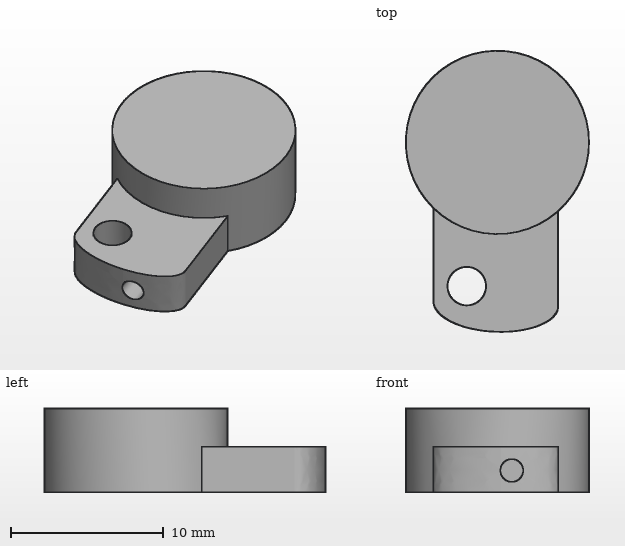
import cadquery as cq

body_diameter = 12.0
body_height = 5.5

overall_length = 18.41
tab_height = 3.0
tab_left_x = -4.2
tab_right_x = 3.98
tip_x = 0.24
tip_y = body_diameter / 2 - overall_length
left_round_depth = 2.05
right_round_depth = 1.65

through_hole_diameter = 2.5
through_hole_x = -2.0
through_hole_y = -9.4

end_hole_diameter = 1.5
end_hole_x = 0.94
end_hole_z = 1.44
end_hole_depth = 3.68


def make_body():
    return cq.Workplane("XY").circle(body_diameter / 2).extrude(body_height)


def make_tab():
    """Straight-sided tab whose end is two unequal quarter ellipses meeting at the tip."""
    return (
        cq.Workplane("XY")
        .moveTo(tab_left_x, 0)
        .lineTo(tab_left_x, tip_y + left_round_depth)
        .ellipseArc(tip_x - tab_left_x, left_round_depth, 180, 270)
        .ellipseArc(tab_right_x - tip_x, right_round_depth, 270, 360)
        .lineTo(tab_right_x, 0)
        .close()
        .extrude(tab_height)
    )


def make_through_hole():
    return (
        cq.Workplane("XY")
        .center(through_hole_x, through_hole_y)
        .circle(through_hole_diameter / 2)
        .extrude(tab_height)
    )


def make_end_hole():
    return (
        cq.Workplane("XZ", origin=(end_hole_x, tip_y, end_hole_z))
        .circle(end_hole_diameter / 2)
        .extrude(-end_hole_depth)
    )


result = make_body().union(make_tab()).cut(make_through_hole()).cut(make_end_hole())